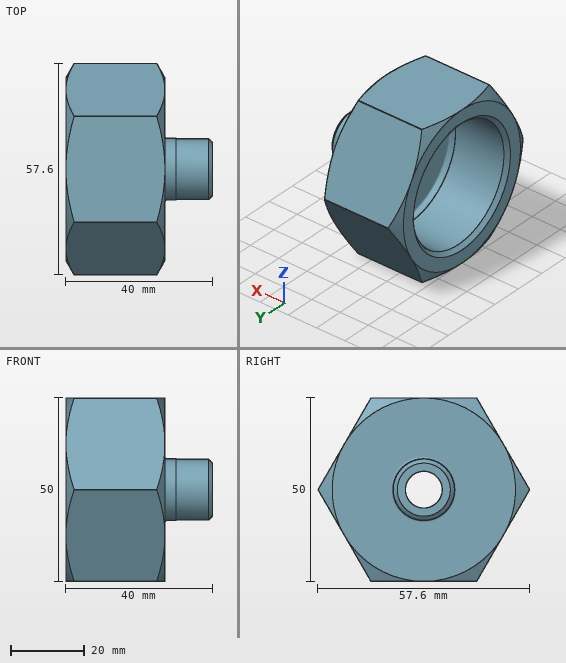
import cadquery as cq
import math

across_corners = 57.65
corner_land = 0.17
sharp_corners = across_corners + corner_land / math.tan(math.radians(60))
across_flats = sharp_corners * math.cos(math.radians(30))
nut_length = 27.0
corner_chamfer_angle = math.radians(30)

socket_diameter = 38.95
relief_diameter = 39.15
relief_length = 2.0
socket_depth = 20.45
mouth_diameter = 41.45
mouth_depth = 1.25
root_radius = 0.5

total_length = 40.0
collar_diameter = 16.9
collar_length = 3.0
stub_diameter = 16.65
tip_chamfer = 1.1

hole_diameter = 10.0
hole_chamfer = 0.6


def cylinder(diameter, start, end):
    """Solid cylinder on the X axis between two X positions."""
    return cq.Workplane("YZ").workplane(offset=start).circle(diameter / 2).extrude(end - start)


def cone(start_diameter, end_diameter, start, length):
    """Solid cone frustum on the X axis, starting at an X position."""
    origin = cq.Vector(start, 0, 0)
    axis = cq.Vector(1, 0, 0)
    return cq.Workplane(cq.Solid.makeCone(start_diameter / 2, end_diameter / 2, length, origin, axis))


def make_nut():
    """Hexagon with corners turned down and chamfered at both ends."""
    hexagon = cq.Workplane("YZ").polygon(6, sharp_corners).extrude(nut_length)

    face_radius = across_flats / 2
    outer_radius = across_corners / 2
    chamfer_length = (outer_radius - face_radius) * math.tan(corner_chamfer_angle)
    envelope = (
        cq.Workplane("XY")
        .moveTo(0, 0)
        .lineTo(0, face_radius)
        .lineTo(chamfer_length, outer_radius)
        .lineTo(nut_length - chamfer_length, outer_radius)
        .lineTo(nut_length, face_radius)
        .lineTo(nut_length, 0)
        .close()
        .revolve(360, (0, 0, 0), (1, 0, 0))
    )
    return hexagon.intersect(envelope)


def make_stub():
    """Stub with a collar that flares into the nut and a chamfered tip."""
    stub = cylinder(stub_diameter, nut_length, total_length).faces(">X").chamfer(tip_chamfer)
    collar = cylinder(collar_diameter, nut_length, nut_length + collar_length)

    collar_radius = collar_diameter / 2
    flare_end = nut_length + root_radius
    flare = (
        cq.Workplane("XY")
        .moveTo(nut_length, 0)
        .lineTo(nut_length, collar_radius + root_radius)
        .radiusArc((flare_end, collar_radius), -root_radius)
        .lineTo(flare_end, 0)
        .close()
        .revolve(360, (0, 0, 0), (1, 0, 0))
    )
    return stub.union(collar).union(flare)


def make_cavity():
    """Socket with countersunk mouth and rounded relief, plus the through hole."""
    socket = cylinder(socket_diameter, 0, socket_depth - relief_length)
    mouth = cone(mouth_diameter, socket_diameter, 0, mouth_depth)
    relief = cylinder(relief_diameter, socket_depth - relief_length, socket_depth)
    relief = relief.faces(">X").edges().fillet(root_radius)
    hole = cylinder(hole_diameter, 0, total_length)
    hole_entry = cone(hole_diameter + 2 * hole_chamfer, hole_diameter, socket_depth, hole_chamfer)
    return socket.union(mouth).union(relief).union(hole).union(hole_entry)


result = make_nut().union(make_stub()).cut(make_cavity())